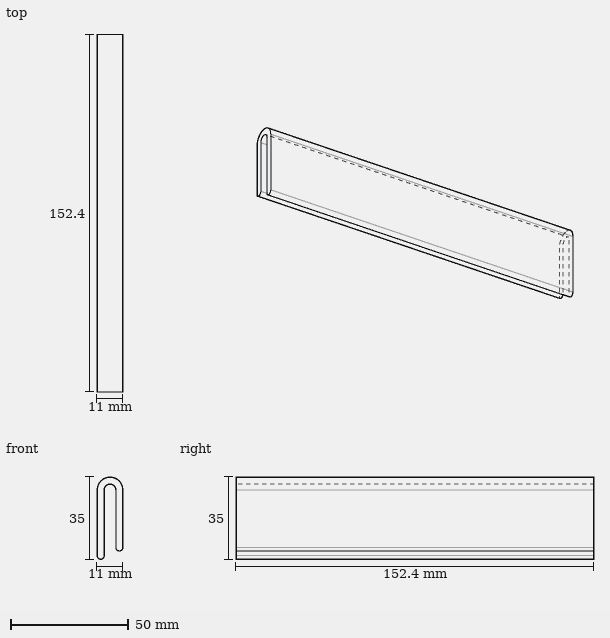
import cadquery as cq

length = 152.4
width = 11.0
height = 35.0
thickness = 3.0
leg_difference = 3.5

outer_radius = width / 2
inner_radius = outer_radius - thickness
tip_radius = thickness / 2
leg_center = outer_radius - tip_radius

long_tip = outer_radius - height
short_tip = long_tip + leg_difference
long_straight_end = long_tip + tip_radius
short_straight_end = short_tip + tip_radius

profile = (
    cq.Workplane("XZ")
    .moveTo(-outer_radius, long_straight_end)
    .lineTo(-outer_radius, 0)
    .threePointArc((0, outer_radius), (outer_radius, 0))
    .lineTo(outer_radius, short_straight_end)
    .threePointArc((leg_center, short_tip), (inner_radius, short_straight_end))
    .lineTo(inner_radius, 0)
    .threePointArc((0, inner_radius), (-inner_radius, 0))
    .lineTo(-inner_radius, long_straight_end)
    .threePointArc((-leg_center, long_tip), (-outer_radius, long_straight_end))
    .close()
)

result = profile.extrude(length / 2, both=True)